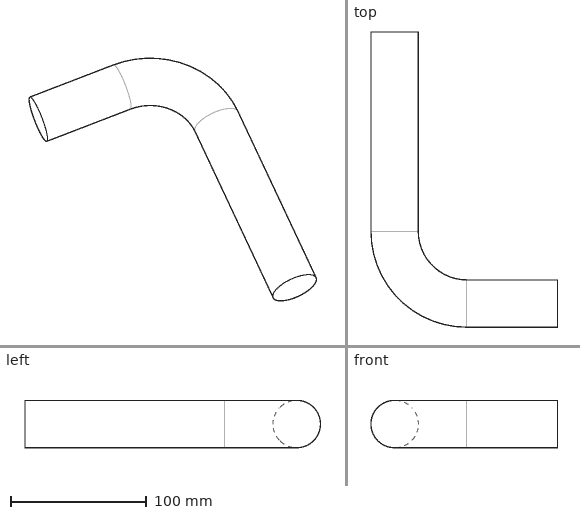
import cadquery as cq

length_x = 137.5
length_y = 217.5
diameter = 35.0
bend_radius = 53.0

radius = diameter / 2
straight_x = length_x - radius - bend_radius
straight_y = length_y - radius - bend_radius

centreline = (
    cq.Workplane("XY")
    .moveTo(0, bend_radius + straight_y)
    .lineTo(0, bend_radius)
    .radiusArc((bend_radius, 0), -bend_radius)
    .lineTo(bend_radius + straight_x, 0)
)

result = (
    cq.Workplane("XZ", origin=(0, bend_radius + straight_y, 0))
    .circle(radius)
    .sweep(centreline)
)